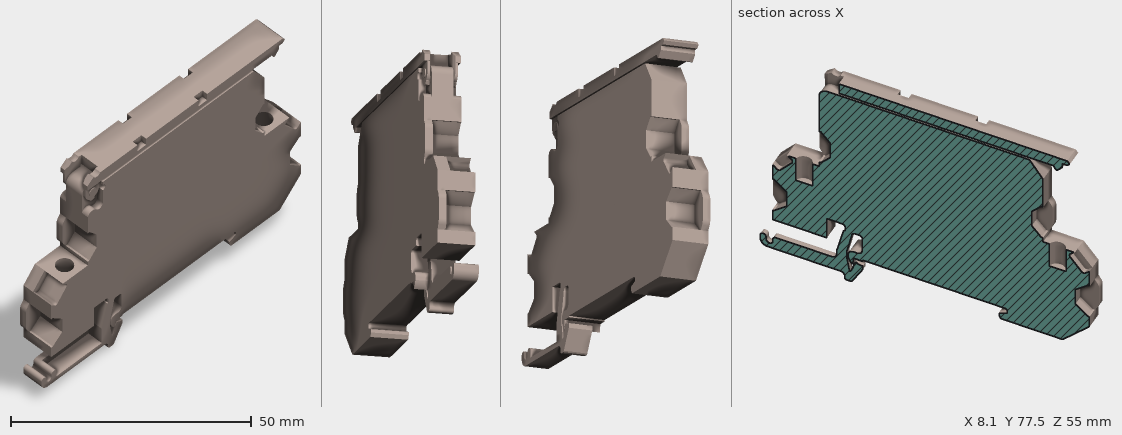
import cadquery as cq
import math


thickness = 8.1
plate = 1.7
tower_half = 26.05
tower_top = 51.8
tower_chamfer_y = 3.2
tower_chamfer_z = 4.3
shoulder_half = 36.8
shoulder_top = 29.75
slope_y = 3.4
slope_z = 3.95
base_z = 3.8
rail_z = 7.1
lower_edge_z = 10.1

ridge_height = 8.6
ridge_rise = 1.0
ridge_slope = 1.5
ridge_round = 1.9
tower_ridge_z = 30.9
shoulder_ridge_z = 12.95
funnel_slope = 2.3
funnel_ledge = 0.5
tower_funnel_depth = 2.6
shoulder_funnel_depth = 3.25

screw_x = 4.65
screw_y = 29.4
screw_radius = 2.0
screw_depth = 6.2
groove_x = 2.8
groove_depth = 1.9
groove_round = 0.6

foot_x = 2.8
foot_root_z = 13.9
foot_root_step = 0.5
arm_inner_y = -17.8
arm_outer_y = -20.3
bar_bottom = 1.9
bar_top = 5.35
bar_inner_y = -21.9
bar_fillet = 1.1
arm_bend_z = 7.45
foot_end_y = -39.7
bar_rib_end_x = 4.3
bar_web_top = 3.1
lip_width = 1.5
slot_width = 1.5
slot_bottom = 3.25
end_radius = 1.85

lid_inset = 0.15
lid_bottom = 52.2
lid_top = 55.0
lid_tip_y = 32.25
lid_notch_y = -21.4
ear_dip_start_y = -22.2
ear_dip_end_y = -24.25
ear_dip_depth = 0.55
ear_corner_z = 53.6
lid_slot_y = (9.0, -9.0)
lid_slot_width = 2.55
lid_slot_depth = 1.85
lid_slot_reach = 1.4
lid_turn_y = 0.15

pivot_y = -23.95
pivot_z = 50.1
pin_radius = 1.0
ear_radius = 2.0
ear_outer = 0.8
ear_bevel_x = 0.4
ear_bevel_y = 0.9
pin_outer = 0.55
tab_half = 0.7
tab_drop = 2.55
recess_y = -21.6
detent_radius = 0.8
recess_low_z = 44.4
recess_crest_z = 45.4
tongue_round = 2.2

ARC_MIDDLE = 1 - math.sqrt(0.5)


def sketch(x):
    """Workplane parallel to YZ at the given X."""
    return cq.Workplane("YZ").workplane(offset=x)


def prism(points, x0, x1):
    return sketch(x0).polyline(points).close().extrude(x1 - x0)


def box(x0, x1, y0, y1, z0, z1):
    return cq.Workplane("XY").box(x1 - x0, y1 - y0, z1 - z0, centered=False).translate((x0, y0, z0))


def both_edges(solid):
    """The solid together with its mirror image across Y = 0."""
    return solid.union(solid.mirror("XZ"))


def body():
    foot_corner_y = 30.5
    hook_y = 15.7
    pocket_y = -16.05
    nose_y = -19.3
    step_y = -20.0
    window_y = -24.2
    window_top = 15.5
    nose_root_y = -15.7
    nose_root_z = rail_z - 0.3
    nose_top = 8.75
    nose_tip_z = 5.0
    outline = (
        sketch(0)
        .moveTo(-tower_half, tower_top)
        .lineTo(tower_half - tower_chamfer_y, tower_top)
        .lineTo(tower_half, tower_top - tower_chamfer_z)
        .lineTo(tower_half, shoulder_top)
        .lineTo(shoulder_half - slope_y, shoulder_top)
        .lineTo(shoulder_half, shoulder_top - slope_z)
        .lineTo(shoulder_half, lower_edge_z)
        .lineTo(foot_corner_y, base_z)
        .lineTo(hook_y + 0.5, base_z)
        .lineTo(hook_y, base_z + 0.85)
        .lineTo(hook_y, base_z + 1.55)
        .lineTo(hook_y + 1.9, rail_z - 1.1)
        .lineTo(hook_y + 1.9, rail_z - 0.5)
        .threePointArc((hook_y + 1.8, rail_z - 0.15), (hook_y + 1.5, rail_z))
        .lineTo(nose_root_y, rail_z)
        .lineTo(nose_root_y, nose_root_z)
        .lineTo(nose_root_y - 2.2, nose_root_z)
        .lineTo(nose_y + 1.2, nose_tip_z)
        .threePointArc((nose_y + 0.5, 5.7), (nose_y, 6.7))
        .lineTo(nose_y, 7.45)
        .threePointArc((nose_y + 0.4, nose_top - 0.4), (nose_y + 1.25, nose_top))
        .lineTo(pocket_y - 1.2, nose_top)
        .threePointArc((pocket_y - 0.3, nose_top + 0.3), (pocket_y, nose_top + 1.2))
        .lineTo(pocket_y, foot_root_z - 0.6)
        .threePointArc((pocket_y - 0.15, foot_root_z - 0.15), (pocket_y - 0.6, foot_root_z))
        .lineTo(step_y, foot_root_z)
        .lineTo(step_y, window_top - 0.5)
        .threePointArc((step_y - 0.15, window_top - 0.15), (step_y - 0.5, window_top))
        .lineTo(window_y, window_top)
        .lineTo(window_y, lower_edge_z)
        .lineTo(-shoulder_half, lower_edge_z)
        .lineTo(-shoulder_half, shoulder_top - slope_z)
        .lineTo(-shoulder_half + slope_y, shoulder_top)
        .lineTo(-tower_half, shoulder_top)
        .close()
    )
    return outline.extrude(thickness)


def ridge(edge_y, z0):
    """Rounded ridge on the side plate, rooted inside the plate edge."""
    crest_y = edge_y + ridge_rise
    z1 = z0 + ridge_height
    points = [
        (edge_y - plate, z0), (edge_y, z0), (crest_y, z0 + ridge_slope),
        (crest_y, z1 - ridge_slope), (edge_y, z1), (edge_y - plate, z1),
    ]
    return both_edges(prism(points, 0, plate).edges("|X and >Y").fillet(ridge_round))


def funnel(edge_y, z0, depth):
    """Tapered wire entry cut into a narrow edge behind the side plate."""
    z1 = z0 + ridge_height
    ledge_y = edge_y - funnel_ledge
    floor_y = edge_y - depth
    points = [
        (edge_y, z0), (ledge_y, z0), (floor_y, z0 + funnel_slope),
        (floor_y, z1 - funnel_slope), (ledge_y, z1), (edge_y, z1),
    ]
    return both_edges(prism(points, plate, thickness))


def marker_groove():
    """Groove as long as the sloping shoulder, with rounded floor corners."""
    length = math.hypot(slope_y, slope_z)
    in_y = groove_depth * slope_z / length
    in_z = groove_depth * slope_y / length
    top = (shoulder_half - slope_y, shoulder_top)
    bottom = (shoulder_half, shoulder_top - slope_z)
    points = [
        (bottom[0] + in_y, bottom[1] + in_z), (top[0] + in_y, top[1] + in_z),
        (top[0] - in_y, top[1] - in_z), (bottom[0] - in_y, bottom[1] - in_z),
    ]
    cutter = prism(points, groove_x, thickness)
    cutter = cutter.edges("|X and (<Y or <Z)").fillet(groove_round)
    return both_edges(cutter)


def screw_shaft():
    shaft = (
        cq.Workplane("XY", origin=(screw_x, screw_y, shoulder_top - screw_depth))
        .circle(screw_radius)
        .extrude(screw_depth)
    )
    return both_edges(shaft)


def hinge_recess():
    """Recess at X = 0 that takes one lid ear, with a wavy floor and a detent notch."""
    valley_y = recess_y - 1.1
    crest_y = -24.5
    recess = (
        sketch(0)
        .moveTo(recess_y, tower_top)
        .lineTo(recess_y, recess_low_z + 1.1)
        .threePointArc((recess_y - 0.3, recess_low_z + 0.3), (valley_y, recess_low_z))
        .threePointArc((valley_y - 0.6, recess_low_z + 0.2), (valley_y - 0.9, recess_low_z + 0.55))
        .threePointArc((crest_y, recess_crest_z), (-tower_half, recess_low_z))
        .lineTo(-tower_half, tower_top)
        .close()
        .extrude(plate)
    )
    detent = sketch(0).center(recess_y, pivot_z).circle(detent_radius).extrude(plate)
    return recess.union(detent)


def spring_foot():
    tip_y = -18.6
    claw_end_y = -15.8
    slot_y = foot_end_y + lip_width
    bar_end_y = slot_y + slot_width
    slot_round = slot_width / 2
    lip_round = lip_width / 2
    return (
        sketch(foot_x)
        .moveTo(arm_inner_y, foot_root_z)
        .threePointArc((arm_inner_y - 0.4, foot_root_z - 0.3), (arm_inner_y - 0.55, foot_root_z - 0.9))
        .lineTo(arm_inner_y - 1.7, 8.05)
        .lineTo(arm_inner_y - 1.6, 6.3)
        .lineTo(arm_inner_y - 1.0, 2.8)
        .threePointArc((arm_inner_y - 0.4, 4.0), (arm_inner_y - 0.1, 5.35))
        .lineTo(claw_end_y - 1.6, 6.1)
        .lineTo(claw_end_y - 1.0, 5.7)
        .lineTo(claw_end_y, 5.6)
        .lineTo(claw_end_y, 4.6)
        .lineTo(tip_y + 0.3, 0.2)
        .lineTo(tip_y, 0)
        .lineTo(tip_y - 1.0, 0)
        .threePointArc((tip_y - 1.3, 0.15), (tip_y - 1.5, 0.55))
        .lineTo(tip_y - 1.5, 1.1)
        .threePointArc((tip_y - 1.7, 1.6), (tip_y - 2.3, bar_bottom))
        .lineTo(foot_end_y + end_radius, bar_bottom)
        .threePointArc(
            (foot_end_y + end_radius * ARC_MIDDLE, bar_bottom + end_radius * ARC_MIDDLE),
            (foot_end_y, bar_bottom + end_radius),
        )
        .lineTo(foot_end_y, bar_top - lip_round)
        .threePointArc((foot_end_y + lip_round, bar_top), (slot_y, bar_top - lip_round))
        .lineTo(slot_y, slot_bottom + slot_round)
        .threePointArc((slot_y + slot_round, slot_bottom), (bar_end_y, slot_bottom + slot_round))
        .lineTo(bar_end_y, bar_top - lip_round)
        .threePointArc(
            (bar_end_y + lip_round * ARC_MIDDLE, bar_top - lip_round * ARC_MIDDLE),
            (bar_end_y + lip_round, bar_top),
        )
        .lineTo(bar_inner_y - bar_fillet, bar_top)
        .threePointArc((bar_inner_y - 0.3, bar_top + 0.3), (bar_inner_y, bar_top + bar_fillet))
        .lineTo(bar_inner_y, arm_bend_z)
        .lineTo(arm_outer_y, foot_root_z)
        .close()
        .extrude(thickness - foot_x)
    )


def foot_root():
    """Wedge that flares the top of the arm sideways where it joins the housing."""
    low_z = foot_root_z - foot_root_step
    return (
        cq.Workplane("XZ", origin=(0, arm_inner_y - foot_root_step, 0))
        .polyline([(foot_x, low_z), (foot_x, foot_root_z), (foot_x - foot_root_step, foot_root_z)])
        .close()
        .extrude(arm_inner_y - foot_root_step - arm_outer_y)
    )


def bar_pocket():
    """Step that thins the bar behind its rib, leaving a round-topped catch at the hooked end."""
    catch_y = foot_end_y + lip_width + slot_width + lip_width
    pocket = box(bar_rib_end_x, thickness, catch_y, bar_inner_y, bar_web_top, arm_bend_z)
    lip_round = lip_width / 2
    rounding = (
        sketch(bar_rib_end_x)
        .moveTo(catch_y, bar_top)
        .lineTo(catch_y - lip_round, bar_top)
        .radiusArc((catch_y, bar_top - lip_round), lip_round)
        .close()
        .extrude(thickness - bar_rib_end_x)
    )
    return pocket.union(rounding)


def lid_bar():
    """Lid body with the snap nose at its free end."""
    nose_y = 30.5
    nose_z = 51.3
    return prism(
        [
            (-tower_half, lid_bottom), (-tower_half, ear_corner_z), (ear_dip_end_y, lid_top),
            (lid_tip_y - 0.6, lid_top), (lid_tip_y, lid_top - 0.7), (lid_tip_y - 0.6, lid_top - 1.4),
            (nose_y, lid_top - 1.4), (nose_y, nose_z + 1.4), (nose_y - 1.25, nose_z), (nose_y - 1.55, nose_z),
            (nose_y - 2.2, lid_bottom),
        ],
        lid_inset,
        thickness - lid_inset,
    )


def ear_dip():
    middle = (ear_dip_start_y + ear_dip_end_y) / 2
    return (
        sketch(0)
        .moveTo(ear_dip_start_y, lid_top)
        .threePointArc((middle, lid_top - ear_dip_depth), (ear_dip_end_y, lid_top))
        .close()
        .extrude(thickness)
    )


def lid_slots():
    """Marker slots along the X = 0 edge of the lid."""
    slots = cq.Workplane("XY")
    for low_y in lid_slot_y:
        high_y = low_y + lid_slot_width
        floor_z = lid_top - lid_slot_depth
        slots = slots.union(box(0, lid_inset + lid_slot_reach, low_y, high_y, floor_z, lid_top))
    return slots


def ear():
    """Hinge ear on the X = 0 side: rounded lug, stop tab and pivot pin."""
    lug = sketch(ear_outer).center(pivot_y, pivot_z).circle(ear_radius).extrude(plate - ear_outer)
    neck = box(ear_outer, plate, pivot_y - ear_radius, pivot_y + ear_radius, pivot_z, lid_bottom)
    tab = prism(
        [
            (pivot_y + tab_half, pivot_z), (pivot_y + tab_half, pivot_z - tab_drop + 0.3),
            (pivot_y + tab_half - 0.3, pivot_z - tab_drop), (pivot_y - tab_half + 0.3, pivot_z - tab_drop),
            (pivot_y - tab_half - 0.3, pivot_z - tab_drop + 0.8), (pivot_y - tab_half - 0.3, pivot_z),
        ],
        ear_outer,
        plate,
    )
    pin = sketch(pin_outer).center(pivot_y, pivot_z).circle(pin_radius).extrude(plate - pin_outer)
    return lug.union(neck).union(tab).union(pin)


def ear_bevel():
    """Lead-in bevel on the inner end edge of the X = 0 ear, over the full ear height."""
    low_z = pivot_z - tab_drop
    return (
        cq.Workplane("XY", origin=(0, 0, low_z))
        .polyline([
            (plate - ear_bevel_x, -tower_half), (plate, -tower_half), (plate, -tower_half + ear_bevel_y),
        ])
        .close()
        .extrude(lid_top - low_z)
    )


def both_sides(solid):
    """The solid together with its mirror image across the middle of the thickness."""
    return solid.union(solid.mirror("YZ", (thickness / 2, 0, 0)))


def turned(solid):
    """The solid turned half a turn about the vertical axis through the middle of the slot rows."""
    return solid.rotate((thickness / 2, lid_turn_y, 0), (thickness / 2, lid_turn_y, 1), 180)


def housing():
    tongue_edge = cq.selectors.NearestToPointSelector((thickness / 2, -tower_half, tower_top))
    solid = body().edges(tongue_edge).fillet(tongue_round)
    solid = solid.cut(both_sides(hinge_recess()))
    for edge_y, z0, depth in (
        (tower_half, tower_ridge_z, tower_funnel_depth),
        (shoulder_half, shoulder_ridge_z, shoulder_funnel_depth),
    ):
        solid = solid.cut(funnel(edge_y, z0, depth))
        solid = solid.union(ridge(edge_y, z0))
    return solid.cut(marker_groove()).cut(screw_shaft())


def lid():
    notch = box(plate, thickness - plate, -tower_half, lid_notch_y, lid_bottom, lid_top)
    slots = lid_slots()
    bar = lid_bar().cut(ear_dip()).cut(notch).cut(slots).cut(turned(slots))
    return bar.union(both_sides(ear())).cut(both_sides(ear_bevel()))


result = housing().union(spring_foot().cut(bar_pocket())).union(foot_root()).union(lid())